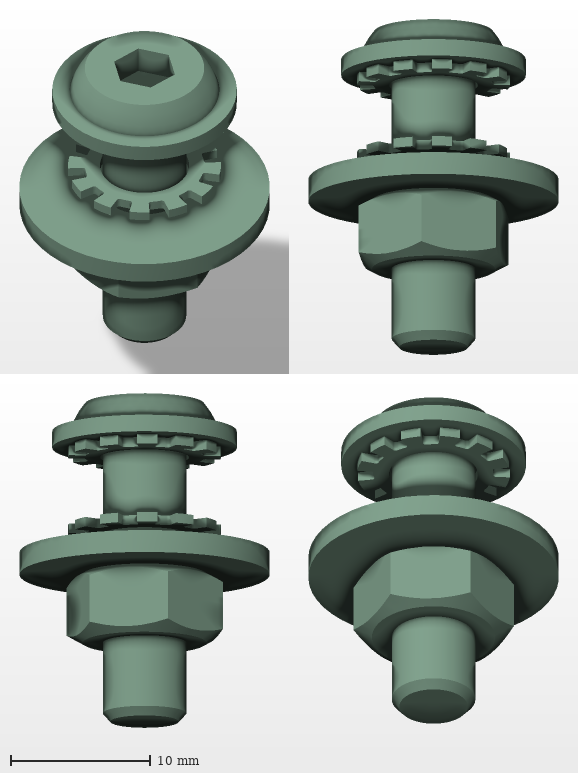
import cadquery as cq
import math

total_height = 23.2
shank_diameter = 6.0
shank_length = 20.0
tip_diameter = 4.92
tip_chamfer_height = 0.6
flange_diameter = 13.27
flange_thickness = 1.2
crown_base_diameter = 10.76
crown_top_diameter = 8.58
socket_across_flats = 4.0
socket_depth = 2.05

clearance_diameter = 6.4
lock_outer_diameter = 11.0
lock_root_diameter = 8.58
lock_thickness = 0.7
tooth_count = 12
gap_angle = 14.7
gap_corner_radius = 0.2
lower_lock_bottom = 13.62
lock_bottoms = [shank_length - lock_thickness, lower_lock_bottom]

nut_bottom = 5.75
nut_height = 4.99
nut_across_flats = 10.0
nut_face_diameter = 8.86
nut_chamfer_angle = 30.0

washer_diameter = 18.0
washer_thickness = 1.6
washer_bottom = nut_bottom + nut_height


def across_corners(across_flats):
    """Corner-to-corner diameter of a regular hexagon."""
    return across_flats / math.cos(math.radians(30))


def arc_point(radius, degrees):
    """Point at a given angle on a circle around the axis."""
    angle = math.radians(degrees)
    return (radius * math.cos(angle), radius * math.sin(angle))


def make_screw():
    """Flanged button-head screw with a hexagon socket."""
    shank_radius = shank_diameter / 2
    flange_radius = flange_diameter / 2
    base_radius = crown_base_diameter / 2
    top_radius = crown_top_diameter / 2
    flange_top = shank_length + flange_thickness

    crown_height = total_height - flange_top
    centre_drop = (base_radius**2 - top_radius**2 - crown_height**2) / (2 * crown_height)
    sphere_radius = math.hypot(base_radius, centre_drop)
    middle_height = crown_height / 2
    middle_radius = math.sqrt(sphere_radius**2 - (centre_drop + middle_height) ** 2)

    body = (
        cq.Workplane("XZ")
        .moveTo(0, 0)
        .lineTo(tip_diameter / 2, 0)
        .lineTo(shank_radius, tip_chamfer_height)
        .lineTo(shank_radius, shank_length)
        .lineTo(flange_radius, shank_length)
        .lineTo(flange_radius, flange_top)
        .lineTo(base_radius, flange_top)
        .threePointArc((middle_radius, flange_top + middle_height), (top_radius, total_height))
        .lineTo(0, total_height)
        .close()
        .revolve(360, (0, 0, 0), (0, 1, 0))
    )
    socket = (
        cq.Workplane("XY", origin=(0, 0, total_height - socket_depth))
        .polygon(6, across_corners(socket_across_flats))
        .extrude(socket_depth)
    )
    return body.cut(socket)


def make_ring(bottom, outer_diameter, thickness):
    """Flat ring with a clearance hole for the screw."""
    return (
        cq.Workplane("XY", origin=(0, 0, bottom))
        .circle(outer_diameter / 2)
        .circle(clearance_diameter / 2)
        .extrude(thickness)
    )


def make_tooth_gap(bottom):
    """Cutter for the gap on +X between two teeth: radial sides, rounded inner corners."""
    root_radius = lock_root_diameter / 2
    outer_radius = lock_outer_diameter / 2
    half_angle = gap_angle / 2
    sector = (
        cq.Workplane("XY", origin=(0, 0, bottom))
        .moveTo(*arc_point(root_radius, -half_angle))
        .lineTo(*arc_point(outer_radius, -half_angle))
        .threePointArc((outer_radius, 0), arc_point(outer_radius, half_angle))
        .lineTo(*arc_point(root_radius, half_angle))
        .threePointArc((root_radius, 0), arc_point(root_radius, -half_angle))
        .close()
        .extrude(lock_thickness)
    )
    return sector.edges("|Z").edges("<X").fillet(gap_corner_radius)


def make_lock_washer(bottom):
    """Externally toothed lock washer with a gap centred on each axis."""
    washer = make_ring(bottom, lock_outer_diameter, lock_thickness)
    gap = make_tooth_gap(bottom)
    for index in range(tooth_count):
        washer = washer.cut(gap.rotate((0, 0, 0), (0, 0, 1), index * 360 / tooth_count))
    return washer


def make_nut():
    """Hexagon nut with corners on the Y axis and both faces chamfered."""
    corner_radius = across_corners(nut_across_flats) / 2
    face_radius = nut_face_diameter / 2
    chamfer_height = (corner_radius - face_radius) * math.tan(math.radians(nut_chamfer_angle))
    nut_top = nut_bottom + nut_height

    prism = (
        cq.Workplane("XY", origin=(0, 0, nut_bottom))
        .transformed(rotate=(0, 0, 90))
        .polygon(6, 2 * corner_radius)
        .extrude(nut_height)
    )
    chamfer_envelope = (
        cq.Workplane("XZ")
        .moveTo(0, nut_bottom)
        .lineTo(face_radius, nut_bottom)
        .lineTo(corner_radius, nut_bottom + chamfer_height)
        .lineTo(corner_radius, nut_top - chamfer_height)
        .lineTo(face_radius, nut_top)
        .lineTo(0, nut_top)
        .close()
        .revolve(360, (0, 0, 0), (0, 1, 0))
    )
    bore = (
        cq.Workplane("XY", origin=(0, 0, nut_bottom))
        .circle(shank_diameter / 2)
        .extrude(nut_height)
    )
    return prism.intersect(chamfer_envelope).cut(bore)


screw = make_screw()
lock_washers = [make_lock_washer(bottom) for bottom in lock_bottoms]
flat_washer = make_ring(washer_bottom, washer_diameter, washer_thickness)
nut = make_nut()

result = cq.Compound.makeCompound(
    [
        screw.val(),
        *[washer.val() for washer in lock_washers],
        flat_washer.val(),
        nut.val(),
    ]
)